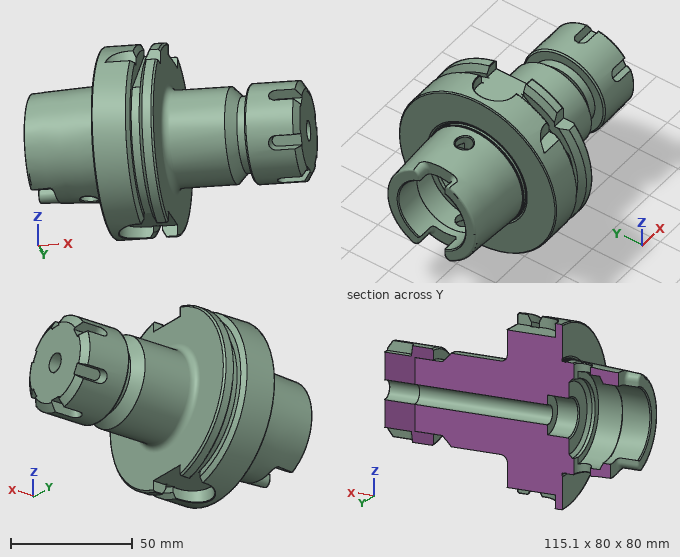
import cadquery as cq
import math


shank_length = 32.0
taper_large_radius = 24.2
taper_small_radius = 22.7
shank_end_round = 1.0
relief_start = -2.1
relief_groove_start = -1.4
relief_groove_end = -0.7
relief_depth = 0.2
face_recess_depth = 0.4
face_recess_floor_radius = 24.7
face_recess_rim_radius = 25.45

bore_radius = 34.0 / 2
bore_mouth_chamfer = 0.5
undercut_radius = 40.0 / 2
undercut_start = -18.8
undercut_end = -6.0
undercut_flank_angle = math.radians(60)
bore_floor = -3.0
bore_floor_radius = 30.91 / 2
bore_floor_bevel = 1.5
tube_seat_radius = 16.92 / 2
tube_seat_mouth_radius = 18.03 / 2
tube_seat_depth = 10.0
coolant_radius = 8.4 / 2

drive_slot_half_width = 12.54 / 2
drive_slot_corner_radius = 3.0
drive_slot_shoulder = 20.8
drive_slot_floor_round = 1.6
drive_slot_depths = {1: 6.0, -1: 9.7}

radial_hole_x = -9.1
radial_hole_radius = 7.5 / 2
radial_hole_chamfer = 0.45

flange_radius = 80.0 / 2
flange_length = 26.0
flange_front_chamfer = 0.5
flange_back_chamfer = 0.8
groove_start = 15.85
groove_end = 19.6
groove_left_rim = 14.45
groove_right_rim = 21.4
groove_radius = 35.0
groove_flank_angle = math.radians(30)

mill_radius = 18.5 / 2
mill_centre_x = 12.85
keyway_floor = 34.0
keyway_edge_chamfer = 0.3
notch_offset = 25.0
flat_angle = 48.0
flat_distance = 31.35

body_radius = 40.51 / 2
body_fillet = 3.0
body_end = 52.0
neck_radius = 32.0 / 2
neck_start = body_end + body_radius - neck_radius

nut_start = 60.3
nut_end = 83.06
nut_radius = 41.8 / 2
nut_back_chamfer = 0.7
nut_nose_start = 80.75
nut_nose_radius = 17.4
nut_slot_count = 6
nut_slot_start = 70.75
nut_slot_floor_half_width = 2.35
nut_slot_floor = 16.3
nut_slot_draft = 8.5
spigot_end = 69.0

clearance = 5.0
pick_margin = 0.1


def revolve_about_x(profile):
    return profile.close().revolve(360, (0, 0, 0), (1, 0, 0))


def make_outer_form():
    """Solid turned form of the shank, flange, chuck body and the spigot inside the nut."""
    left_flank_radius = flange_radius - (groove_start - groove_left_rim) / math.tan(groove_flank_angle)
    right_flank_radius = flange_radius - (groove_right_rim - groove_end) / math.tan(groove_flank_angle)
    fillet_end = flange_length + body_fillet
    fillet_centre_radius = body_radius + body_fillet
    fillet_mid = (
        fillet_end - body_fillet * math.sin(math.pi / 4),
        fillet_centre_radius - body_fillet * math.cos(math.pi / 4),
    )
    profile = (
        cq.Workplane("XY")
        .moveTo(-shank_length, 0)
        .lineTo(-shank_length, taper_small_radius)
        .lineTo(relief_start, taper_large_radius)
        .lineTo(relief_groove_start, taper_large_radius)
        .lineTo(relief_groove_start, taper_large_radius - relief_depth)
        .lineTo(relief_groove_end, taper_large_radius - relief_depth)
        .lineTo(relief_groove_end, taper_large_radius)
        .lineTo(face_recess_depth, taper_large_radius)
        .lineTo(face_recess_depth, face_recess_floor_radius)
        .lineTo(0, face_recess_rim_radius)
        .lineTo(0, flange_radius - flange_front_chamfer)
        .lineTo(flange_front_chamfer, flange_radius)
        .lineTo(groove_left_rim, flange_radius)
        .lineTo(groove_start, left_flank_radius)
        .lineTo(groove_start, groove_radius)
        .lineTo(groove_end, groove_radius)
        .lineTo(groove_end, right_flank_radius)
        .lineTo(groove_right_rim, flange_radius)
        .lineTo(flange_length - flange_back_chamfer, flange_radius)
        .lineTo(flange_length, flange_radius - flange_back_chamfer)
        .lineTo(flange_length, fillet_centre_radius)
        .threePointArc(fillet_mid, (fillet_end, body_radius))
        .lineTo(body_end, body_radius)
        .lineTo(neck_start, neck_radius)
        .lineTo(spigot_end, neck_radius)
        .lineTo(spigot_end, 0)
    )
    return revolve_about_x(profile)


def make_bore():
    """Cutter for the clamping bore, its undercut, the coolant tube seat and the coolant hole."""
    undercut_flank = (undercut_radius - bore_radius) / math.tan(undercut_flank_angle)
    mouth_bevel = tube_seat_mouth_radius - tube_seat_radius
    profile = (
        cq.Workplane("XY")
        .moveTo(-shank_length, 0)
        .lineTo(-shank_length, bore_radius + bore_mouth_chamfer)
        .lineTo(-shank_length + bore_mouth_chamfer, bore_radius)
        .lineTo(undercut_start, bore_radius)
        .lineTo(undercut_start + undercut_flank, undercut_radius)
        .lineTo(undercut_end, undercut_radius)
        .lineTo(undercut_end, bore_radius)
        .lineTo(bore_floor - bore_floor_bevel, bore_radius)
        .lineTo(bore_floor, bore_floor_radius)
        .lineTo(bore_floor, tube_seat_mouth_radius)
        .lineTo(bore_floor + mouth_bevel, tube_seat_radius)
        .lineTo(bore_floor + tube_seat_depth, tube_seat_radius)
        .lineTo(bore_floor + tube_seat_depth, coolant_radius)
        .lineTo(spigot_end, coolant_radius)
        .lineTo(spigot_end, 0)
    )
    return revolve_about_x(profile)


def make_drive_slot(side):
    """Cutter for one slot in the shank end, with rounded floor edges and a rounded-over mouth."""
    r = drive_slot_corner_radius
    arc_start = drive_slot_shoulder - r
    arc_end = drive_slot_half_width + r
    arc_inset = r * (1 - math.cos(math.pi / 4))
    arc_mid = (drive_slot_half_width + arc_inset, drive_slot_shoulder - arc_inset)
    outside = taper_large_radius + clearance
    slot = (
        cq.Workplane("YZ", origin=(-shank_length, 0, 0))
        .moveTo(-drive_slot_half_width, 0)
        .lineTo(drive_slot_half_width, 0)
        .lineTo(drive_slot_half_width, arc_start)
        .threePointArc(arc_mid, (arc_end, drive_slot_shoulder))
        .lineTo(outside, drive_slot_shoulder)
        .lineTo(outside, outside)
        .lineTo(-outside, outside)
        .lineTo(-outside, drive_slot_shoulder)
        .lineTo(-arc_end, drive_slot_shoulder)
        .threePointArc((-arc_mid[0], arc_mid[1]), (-drive_slot_half_width, arc_start))
        .close()
        .extrude(drive_slot_depths[side])
    )
    wall_top = outside - pick_margin
    wall_edges = cq.selectors.BoxSelector((-shank_length, -arc_end, pick_margin), (0, arc_end, wall_top))
    slot = slot.faces(">X").edges(wall_edges).fillet(drive_slot_floor_round)
    slab = cq.Workplane("XY", origin=(-shank_length - clearance / 2, 0, 0)).box(
        clearance, 2 * outside, outside, centered=(True, True, False)
    )
    mouth_edges = cq.selectors.BoxSelector(
        (-shank_length - pick_margin, -arc_end, pick_margin),
        (-shank_length + pick_margin, arc_end, wall_top),
    )
    cutter = slot.union(slab).edges(mouth_edges).fillet(shank_end_round)
    return cutter if side > 0 else cutter.mirror("XY")


def cut_radial_hole(body):
    """Drill across the whole shank and chamfer both outer mouths."""
    drill = cq.Workplane("XY", origin=(radial_hole_x, 0, 0)).circle(radial_hole_radius)
    body = body.cut(drill.extrude(taper_large_radius + clearance, both=True))
    half_width = radial_hole_radius + radial_hole_chamfer
    for side in (1, -1):
        mouth = cq.selectors.BoxSelector(
            (radial_hole_x - half_width, -half_width, side * undercut_radius),
            (radial_hole_x + half_width, half_width, side * taper_large_radius),
        )
        body = body.edges(mouth).chamfer(radial_hole_chamfer)
    return body


def make_milled_slot(centre_y, floor):
    """Slot open toward +X and +Z, with a half-round end on the -X side."""
    end = flange_length + clearance
    return (
        cq.Workplane("XY", origin=(0, centre_y, floor))
        .moveTo(end, -mill_radius)
        .lineTo(mill_centre_x, -mill_radius)
        .threePointArc((mill_centre_x - mill_radius, 0), (mill_centre_x, mill_radius))
        .lineTo(end, mill_radius)
        .close()
        .extrude(flange_radius + clearance - floor)
    )


def bevel_keyway_rim(body, side):
    """Break the edges where a keyway runs out through the flange rim."""
    rim_height = math.sqrt(flange_radius**2 - mill_radius**2)
    low_corner = (0, -mill_radius - keyway_edge_chamfer, side * (rim_height - keyway_edge_chamfer / 2))
    high_corner = (flange_length, mill_radius + keyway_edge_chamfer, side * (flange_radius + clearance))
    return body.edges(cq.selectors.BoxSelector(low_corner, high_corner)).chamfer(keyway_edge_chamfer)


def make_groove_flat():
    """Flat milled across the groove floor beside the keyway."""
    width = groove_end - groove_start
    depth = groove_radius - flat_distance + clearance
    block = cq.Workplane("XY").box(width, 2 * groove_radius, depth, centered=(False, True, False))
    return block.translate((groove_start, 0, flat_distance)).rotate((0, 0, 0), (1, 0, 0), 90 - flat_angle)


def make_body():
    body = make_outer_form()
    body = body.faces("<X").edges().fillet(shank_end_round)
    for side in drive_slot_depths:
        body = body.cut(make_drive_slot(side))
    keyway = make_milled_slot(0, keyway_floor)
    body = body.cut(keyway).cut(keyway.mirror("XY"))
    for side in (1, -1):
        body = bevel_keyway_rim(body, side)
    body = body.cut(make_milled_slot(-notch_offset - mill_radius, notch_offset))
    body = body.cut(make_groove_flat())
    body = body.cut(make_bore())
    return cut_radial_hole(body)


def make_nut_slot(angle):
    """Cutter for one wrench slot: round at its -X end, with walls that lean outward."""
    end = nut_end - nut_slot_start + clearance
    half_width = nut_slot_floor_half_width
    cutter = (
        cq.Workplane("XY", origin=(nut_slot_start, 0, nut_slot_floor))
        .moveTo(end, -half_width)
        .lineTo(half_width, -half_width)
        .threePointArc((0, 0), (half_width, half_width))
        .lineTo(end, half_width)
        .close()
        .extrude(nut_radius - nut_slot_floor, taper=-nut_slot_draft)
    )
    return cutter.rotate((0, 0, 0), (1, 0, 0), angle)


def make_nut():
    profile = (
        cq.Workplane("XY")
        .moveTo(nut_start, neck_radius)
        .lineTo(nut_start, nut_radius - nut_back_chamfer)
        .lineTo(nut_start + nut_back_chamfer, nut_radius)
        .lineTo(nut_nose_start, nut_radius)
        .lineTo(nut_end, nut_nose_radius)
        .lineTo(nut_end, coolant_radius)
        .lineTo(spigot_end, coolant_radius)
        .lineTo(spigot_end, neck_radius)
    )
    nut = revolve_about_x(profile)
    for index in range(nut_slot_count):
        nut = nut.cut(make_nut_slot(index * 360 / nut_slot_count))
    return nut


body = make_body()
nut = make_nut()
result = cq.Compound.makeCompound([body.val(), nut.val()])